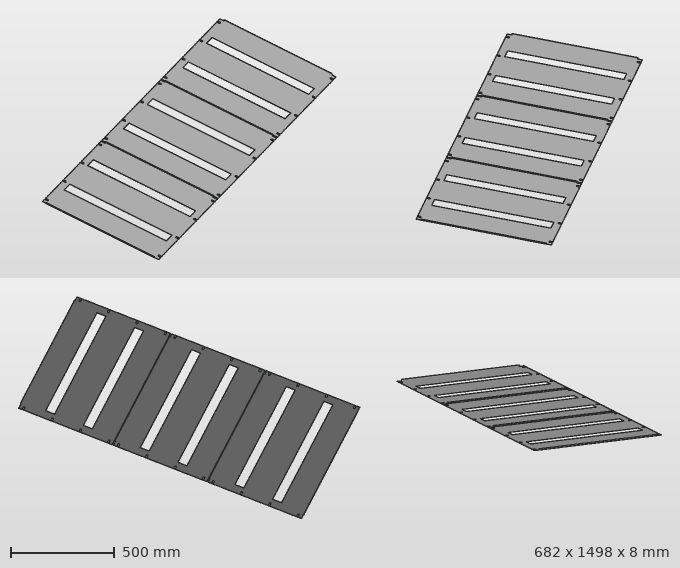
import cadquery as cq
import math

row_length = 1498.0
panel_count = 3
panel_gap = 2.0
panel_width = 682.0
panel_length = (row_length - (panel_count - 1) * panel_gap) / panel_count
panel_pitch = panel_length + panel_gap
sheet_thickness = 1.0

flange_height = 8.0
flange_end_inset = 24.0
flange_width = panel_width - 2 * flange_end_inset
bend_inner_radius = 1.0
bend_outer_radius = bend_inner_radius + sheet_thickness
flat_length = panel_length - 2 * bend_outer_radius

window_count = 2
window_width = 599.0
window_height = 46.0
window_pitch = 199.0

slot_length = 15.0
slot_width = 7.0
slot_edge_distance = 10.0
slot_rows = 4
slot_row_pitch = 150.0
slot_column_pitch = panel_width - 2 * slot_edge_distance


def make_sheet():
    """Flat plate with its underside on Z = 0, ending where the bends start."""
    return cq.Workplane("XY").box(panel_width, flat_length, sheet_thickness, centered=(True, True, False))


def make_flange():
    """Sheet bent upright along the +Y edge, as a constant section swept along X."""
    flat_edge = flat_length / 2
    outer_face = panel_length / 2
    inner_face = outer_face - sheet_thickness
    diagonal = math.cos(math.radians(45))
    outer_middle = (flat_edge + bend_outer_radius * diagonal, bend_outer_radius * (1 - diagonal))
    inner_middle = (flat_edge + bend_inner_radius * diagonal, bend_outer_radius - bend_inner_radius * diagonal)
    return (
        cq.Workplane("YZ")
        .moveTo(flat_edge, 0)
        .threePointArc(outer_middle, (outer_face, bend_outer_radius))
        .lineTo(outer_face, flange_height)
        .lineTo(inner_face, flange_height)
        .lineTo(inner_face, bend_outer_radius)
        .threePointArc(inner_middle, (flat_edge, sheet_thickness))
        .close()
        .extrude(flange_width / 2, both=True)
    )


def make_windows():
    """Cutters for the wide windows."""
    return (
        cq.Workplane("XY")
        .rarray(15, window_pitch, 1, window_count)
        .rect(window_width, window_height)
        .extrude(sheet_thickness)
    )


def make_fixing_slots():
    """Cutters for the two columns of round-ended fixing slots."""
    return (
        cq.Workplane("XY")
        .rarray(slot_column_pitch, slot_row_pitch, 2, slot_rows)
        .slot2D(slot_length, slot_width)
        .extrude(sheet_thickness)
    )


def make_panel(center_y):
    """One complete cover panel, centred at the given Y."""
    flange = make_flange()
    panel = make_sheet().union(flange).union(flange.mirror("XZ"))
    panel = panel.cut(make_windows()).cut(make_fixing_slots())
    return panel.translate((0, center_y, 0))


panels = []
for index in range(panel_count):
    row_position = index - (panel_count - 1) / 2
    panels.append(make_panel(row_position * panel_pitch).val())

result = cq.Compound.makeCompound(panels)